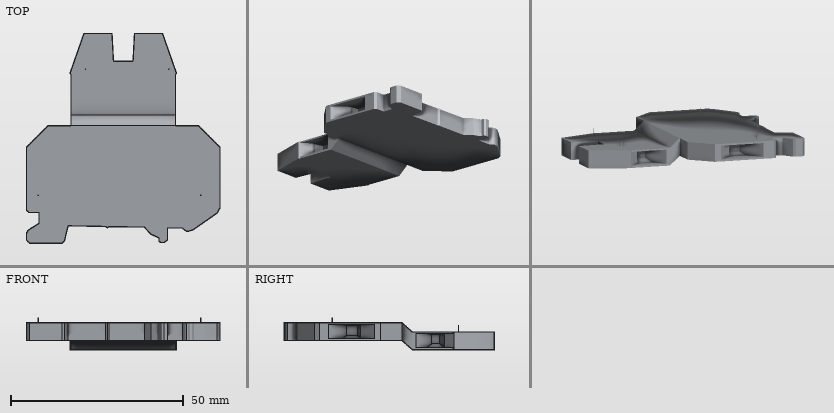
import cadquery as cq

length = 60.9
width = 56.1
plate_thickness = 5.2
body_lift = 2.7
overall_height = 9.25

half_width = width / 2
body_top = body_lift + plate_thickness

body_end_y = 34.1
body_corner_chamfer = 6.2

ramp_end_y = 37.15
tongue_half_width = 15.15
shoulder_half_width = 15.45
shoulder_y = 49.25
shoulder_foot_y = shoulder_y - (shoulder_half_width - tongue_half_width)
tip_half_width = 11.4
notch_floor_y = 52.8
notch_floor_half_width = 2.8
notch_mouth_half_width = 3.2

pin_radius = 0.03
tongue_pin_top = 7.05
body_pins = [(-24.65, 13.95), (22.5, 13.95)]
tongue_pins = [(-10.95, 50.5), (13.2, 50.5)]


def mirrored(points):
    """Reflect plan points to the other side of X = 0, in reverse order."""
    return [(-x, y) for x, y in reversed(points)]


def body_plate():
    """Wide plate with a hooked foot and a snap-in catch along its rail side."""
    upper_edge = [
        (half_width, body_end_y - body_corner_chamfer),
        (half_width - body_corner_chamfer, body_end_y),
    ]
    fixed_foot = [
        (-half_width, 9.55),
        (-27.3, 8.9),
        (-24.4, 8.9),
        (-24.4, 5.85),
        (-27.65, 3.8),
        (-half_width, 3.0),
        (-half_width, 0.9),
        (-27.1, 0),
        (-17.7, 0),
        (-17.0, 0.8),
        (-15.95, 5.05),
    ]
    rail_seat = [
        (-5.2, 4.9),
        (-4.6, 4.5),
        (-4.15, 4.8),
        (6.1, 4.7),
    ]
    catch = [
        (8.05, 2.6),
        (9.9, 1.75),
        (10.35, 1.5),
        (10.35, 0.6),
        (10.9, 0.25),
        (11.9, 0.25),
        (12.85, 1.0),
        (12.85, 4.45),
    ]
    outer_lobe = [
        (17.2, 4.45),
        (17.6, 4.0),
        (18.35, 3.5),
        (19.05, 3.55),
        (20.2, 3.9),
        (27.2, 8.8),
        (half_width, 10.25),
    ]
    outline = upper_edge + mirrored(upper_edge) + fixed_foot + rail_seat + catch + outer_lobe
    plate = cq.Workplane("XY").polyline(outline).close().extrude(plate_thickness)
    return plate.translate((0, 0, body_lift))


def tongue_plate():
    """Narrow lower plate with a tapered tip and an open notch."""
    right_side = [
        (tongue_half_width, ramp_end_y),
        (tongue_half_width, shoulder_foot_y),
        (shoulder_half_width, shoulder_y),
        (tip_half_width, length),
        (notch_mouth_half_width, length),
        (notch_floor_half_width, notch_floor_y),
    ]
    outline = right_side + mirrored(right_side)
    return cq.Workplane("XY").polyline(outline).close().extrude(plate_thickness)


def ramp():
    """Sloping web between the body plate and the tongue."""
    section = [
        (body_end_y, body_lift),
        (body_end_y, body_top),
        (ramp_end_y, plate_thickness),
        (ramp_end_y, 0),
    ]
    return cq.Workplane("YZ").polyline(section).close().extrude(tongue_half_width, both=True)


def rectangle(plane, y_range, z_range):
    """Closed rectangle on a plane facing along X."""
    return plane.polyline([
        (y_range[0], z_range[0]),
        (y_range[1], z_range[0]),
        (y_range[1], z_range[1]),
        (y_range[0], z_range[1]),
    ]).close()


def wire_pocket(mouth_x, mouth_y, wall_y, back_depth, mouth_z, funnel_y, funnel_z):
    """Cutter for a wire entry on the -X side.

    The far wall runs inward at 45 degrees from mouth_y[1] to wall_y[1] and then straight to the
    back; the near wall slopes from mouth_y[0] to wall_y[0]. A tapered funnel continues from the
    back down to the rectangle funnel_y x funnel_z, just deep enough to keep the near wall flat.
    """
    back_x = mouth_x + back_depth
    near_slope = back_depth / (wall_y[0] - mouth_y[0])
    funnel_depth = near_slope * (funnel_y[0] - wall_y[0])
    wall_run = mouth_y[1] - wall_y[1]
    plan = [
        (mouth_x, mouth_y[0]),
        (back_x, wall_y[0]),
        (back_x, wall_y[1]),
        (mouth_x + wall_run, wall_y[1]),
        (mouth_x, mouth_y[1]),
    ]
    mouth = cq.Workplane("XY", origin=(0, 0, mouth_z[0])).polyline(plan).close()
    mouth = mouth.extrude(mouth_z[1] - mouth_z[0])

    funnel = rectangle(cq.Workplane("YZ", origin=(back_x, 0, 0)), wall_y, mouth_z)
    funnel = rectangle(funnel.workplane(offset=funnel_depth), funnel_y, funnel_z).loft(ruled=True)
    return mouth.union(funnel)


def pins(positions, base_z, top_z):
    """Pins rooted half way down a plate, so that they merge with it."""
    root_z = base_z - plate_thickness / 2
    roots = cq.Workplane("XY", origin=(0, 0, root_z)).pushPoints(positions)
    return roots.circle(pin_radius).extrude(top_z - root_z)


body_pocket = wire_pocket(
    mouth_x=-half_width,
    mouth_y=(12.9, 26.1),
    wall_y=(16.9, 22.05),
    back_depth=5.1,
    mouth_z=(3.2, 7.3),
    funnel_y=(18.0, 21.25),
    funnel_z=(4.15, 7.05),
)

tongue_pocket = wire_pocket(
    mouth_x=-tongue_half_width,
    mouth_y=(38.25, shoulder_foot_y),
    wall_y=(41.3, 46.4),
    back_depth=3.8,
    mouth_z=(0.6, 4.75),
    funnel_y=(42.75, 45.0),
    funnel_z=(1.75, 4.4),
)

result = body_plate().union(ramp()).union(tongue_plate())
for pocket in (body_pocket, tongue_pocket):
    result = result.cut(pocket).cut(pocket.mirror("YZ"))
result = result.union(pins(body_pins, body_top, overall_height))
result = result.union(pins(tongue_pins, plate_thickness, tongue_pin_top))